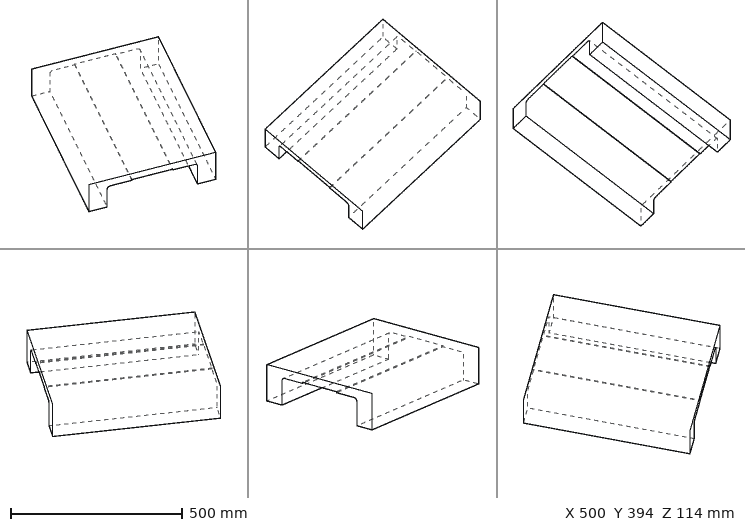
import cadquery as cq

length = 500.0
width = 394.0
height = 114.0
top_edge_radius = 1.5

leg_width = 57.0
plate_thickness = 28.5
inner_corner_radius = 10.0

recess_width = 127.0
recess_depth = 3.0

channel_width = width - 2 * leg_width
channel_height = height - plate_thickness


def block_on_base(block_width, block_height):
    """Full-length block standing on the base plane, centred across the width."""
    return cq.Workplane("XY").box(length, block_width, block_height, centered=(True, True, False))


def round_top_edges(block, radius):
    """Round the two long upper edges of a block."""
    return block.faces(">Z").edges("|X").fillet(radius)


body = round_top_edges(block_on_base(width, height), top_edge_radius)
channel = round_top_edges(block_on_base(channel_width, channel_height), inner_corner_radius)
recess = block_on_base(recess_width, channel_height + recess_depth)

result = body.cut(channel).cut(recess)